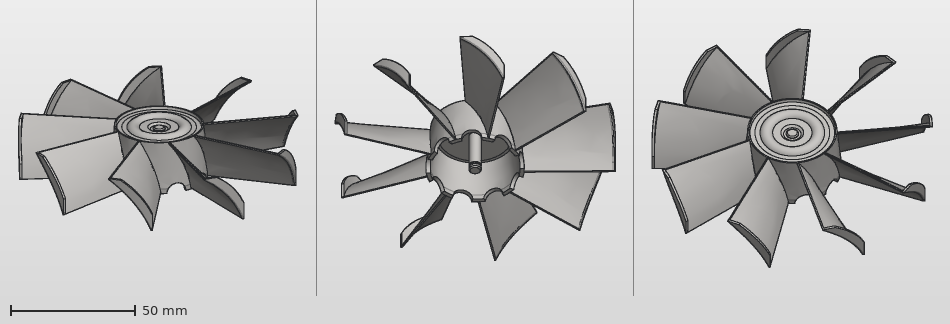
import cadquery as cq

blade_count = 9
blade_pitch = 360 / blade_count
fan_radius = 56.5
blade_bottom = 1.1
blade_height = 21.1
blade_top = blade_bottom + blade_height
edge_height = 0.6
edge_width = 0.7
edge_top_width = 0.6
root_distance = 17.0
tip_distance = 57.6
root_lead, root_mid, root_trail = -4.9, (0.5, 12.1), 4.5
tip_lead, tip_mid, tip_trail = -9.2, (0.8, 12.2), 9.2

plate_thickness = 1.0
tip_round = 0.5
plate_top_width = 5.1
plate_mid_offset = (2.7, 2.9)
plate_trail_height = 6.9

hub_bottom = 0.6
skirt_rim_top = 2.7
hub_face = 21.1
hub_top_radius = 18.0
hub_bottom_radius = 19.8
hub_wall = 1.7
face_diameter = 34.0
rim_lip_width = 0.6
flange_thickness = 2.8
arch_radius = 4.1
arch_angle = -87.0
arch_depth = 3.4

cap_diameter = 30.0
overall_height = 22.6
bead_outer_diameter = 26.0
bead_inner_diameter = 15.8
bead_middle_radius = (bead_outer_diameter + bead_inner_diameter) / 4
mouth_diameter = 9.2
mouth_floor_diameter = 7.0
mouth_depth = 0.8

shaft_diameter = 5.0
shaft_end_diameter = 4.0
shaft_end_chamfer = (shaft_diameter - shaft_end_diameter) / 2
groove_bottom = 1.7
groove_top = 2.7


def cylinder(radius, bottom, top):
    return cq.Workplane("XY").workplane(offset=bottom).circle(radius).extrude(top - bottom)


def revolve_about_z(profile):
    return profile.close().revolve(360, (0, 0, 0), (0, 1, 0))


def copies_around_axis(shape, first_angle=0.0):
    for index in range(blade_count):
        yield shape.rotate((0, 0, 0), (0, 0, 1), first_angle + index * blade_pitch)


def section_plane(distance, height):
    """Plane facing outward along +X, with local x tangential and local y up."""
    return cq.Workplane("YZ", origin=(distance, 0, height))


def section_underside(distance, lead, mid, trail):
    """Outline started with the leading edge face and the curved underside, ending at the trailing edge."""
    return (
        section_plane(distance, blade_bottom)
        .moveTo(lead, blade_height)
        .lineTo(lead, blade_height - edge_height)
        .threePointArc(mid, (trail - edge_width, 0))
        .lineTo(trail, 0)
    )


def blade_section(distance, lead, mid, trail):
    upper_mid = (mid[0] + edge_width / 2, mid[1] + edge_height / 2)
    outline = section_underside(distance, lead, mid, trail)
    outline = outline.threePointArc(upper_mid, (lead + edge_top_width, blade_height))
    return outline.close().val()


def plate_section(distance, lead, mid, trail):
    upper_mid = (mid[0] + plate_mid_offset[0], mid[1] + plate_mid_offset[1])
    outline = section_underside(distance, lead, mid, trail).lineTo(trail, plate_trail_height)
    outline = outline.threePointArc(upper_mid, (lead + plate_top_width, blade_height))
    return outline.close().val()


def loft_to_tip(section):
    root = section(root_distance, root_lead, root_mid, root_trail)
    tip = section(tip_distance, tip_lead, tip_mid, tip_trail)
    return cq.Workplane(cq.Solid.makeLoft([root, tip], True))


def make_blade():
    plate_inside = cylinder(fan_radius - plate_thickness, 0, overall_height)
    tip_cylinder = cylinder(fan_radius, 0, overall_height)
    blade = loft_to_tip(blade_section).intersect(plate_inside)
    plate = loft_to_tip(plate_section).intersect(tip_cylinder).cut(plate_inside)
    blade = blade.union(plate).clean()
    middle_of_lower_edge = (fan_radius, tip_mid[0], blade_bottom + tip_mid[1])
    lower_edge = blade.edges(cq.selectors.NearestToPointSelector(middle_of_lower_edge))
    return lower_edge.fillet(tip_round)


def make_hub_outside():
    return revolve_about_z(
        cq.Workplane("XZ")
        .moveTo(0, hub_bottom)
        .lineTo(hub_bottom_radius, hub_bottom)
        .lineTo(hub_bottom_radius, skirt_rim_top)
        .lineTo(hub_top_radius, blade_top)
        .lineTo(0, blade_top)
    )


def make_hub_cavity():
    flange_bottom = hub_face - flange_thickness
    return revolve_about_z(
        cq.Workplane("XZ")
        .moveTo(0, hub_bottom)
        .lineTo(hub_bottom_radius - hub_wall, hub_bottom)
        .lineTo(hub_bottom_radius - hub_wall, skirt_rim_top)
        .lineTo(hub_top_radius - hub_wall, flange_bottom)
        .lineTo(cap_diameter / 2, flange_bottom)
        .lineTo(cap_diameter / 2, hub_face)
        .lineTo(face_diameter / 2, hub_face)
        .lineTo(hub_top_radius - rim_lip_width, blade_top)
        .lineTo(0, blade_top)
    )


def make_impeller():
    impeller = make_hub_outside()
    for blade in copies_around_axis(make_blade()):
        impeller = impeller.union(blade)
    impeller = impeller.cut(make_hub_cavity())
    arch_start = hub_bottom_radius - arch_depth
    arch = section_plane(arch_start, hub_bottom).circle(arch_radius).extrude(2 * arch_depth)
    for arch_copy in copies_around_axis(arch, arch_angle):
        impeller = impeller.cut(arch_copy)
    return impeller


def make_cap():
    return revolve_about_z(
        cq.Workplane("XZ")
        .moveTo(shaft_diameter / 2, hub_face - flange_thickness)
        .lineTo(cap_diameter / 2, hub_face - flange_thickness)
        .lineTo(cap_diameter / 2, hub_face)
        .lineTo(bead_outer_diameter / 2, hub_face)
        .threePointArc((bead_middle_radius, overall_height), (bead_inner_diameter / 2, hub_face))
        .lineTo(mouth_diameter / 2, hub_face)
        .lineTo(mouth_floor_diameter / 2, hub_face - mouth_depth)
        .lineTo(shaft_diameter / 2, hub_face - mouth_depth)
    )


def make_shaft():
    shaft = cylinder(shaft_diameter / 2, 0, hub_face)
    shaft = shaft.faces("<Z or >Z").chamfer(shaft_end_chamfer)
    groove = cylinder(shaft_diameter, groove_bottom, groove_top)
    groove = groove.cut(cylinder(shaft_end_diameter / 2, groove_bottom, groove_top))
    return shaft.cut(groove)


impeller = make_impeller()
cap = make_cap()
shaft = make_shaft()
result = cq.Compound.makeCompound([impeller.val(), cap.val(), shaft.val()])